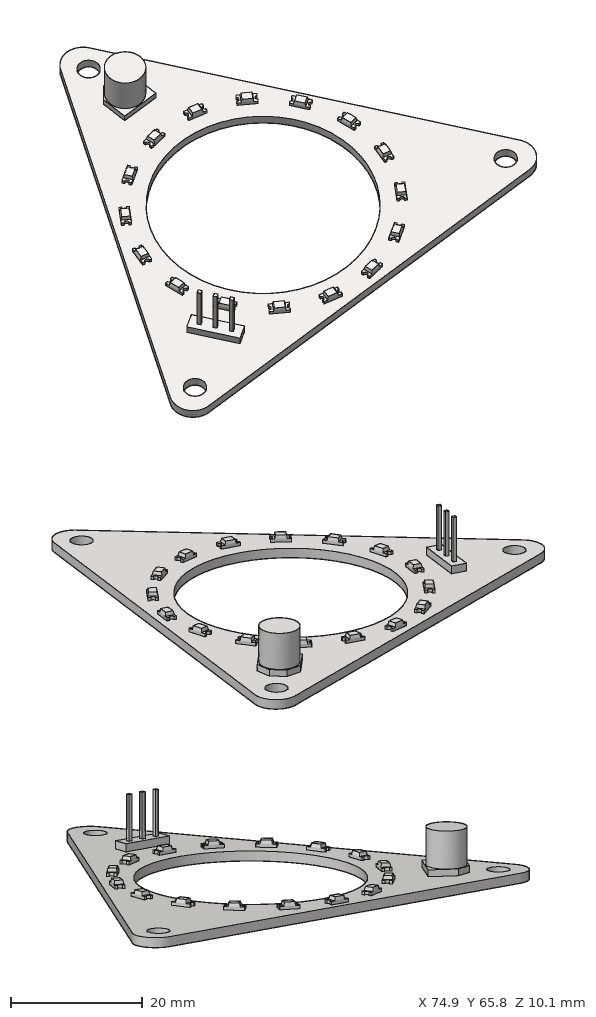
import cadquery as cq
import math

overall_width = 74.9
board_thickness = 1.6
corner_radius = 3.5
corner_distance = (overall_width / 2 - corner_radius) / math.cos(math.radians(30))
corner_angles = (30, 150, 270)
opening_diameter = 35.5
mount_hole_diameter = 3.5
mount_hole_distance = 38.0

lamp_count = 16
lamp_ring_radius = 21.05
lamp_length = 3.2
lamp_width = 1.6
lamp_base_height = 0.5
lamp_notch_radius = 0.4
lens_length = 1.95
lens_height = 0.6
lens_taper = 0.15

header_length = 8.4
header_width = 2.55
header_height = 1.3
header_y = -26.4
pin_count = 3
pin_pitch = 2.55
pin_size = 0.6
pin_tip_height = 10.1

can_distance = 30.0
can_angle = 150
can_diameter = 6.3
can_top_height = 8.5
foot_side = 6.6
foot_height = 1.05
foot_corner_cut = 1.95


def polar(distance, angle):
    """Point at a distance from the opening's centre, in a direction in degrees."""
    turn = math.radians(angle)
    return (distance * math.cos(turn), distance * math.sin(turn))


def placed(part, distance, angle):
    """Stand a part on the board, its local +X pointing away from the opening's centre."""
    return part.translate((distance, 0, board_thickness)).rotate((0, 0, 0), (0, 0, 1), angle)


def make_board():
    corners = [polar(corner_distance, angle) for angle in corner_angles]
    outline = cq.Sketch().push(corners).circle(corner_radius).reset().hull()
    opening = cq.Workplane("XY").circle(opening_diameter / 2).extrude(board_thickness)
    mount_holes = (
        cq.Workplane("XY")
        .pushPoints([polar(mount_hole_distance, angle) for angle in corner_angles])
        .circle(mount_hole_diameter / 2)
        .extrude(board_thickness)
    )
    plate = cq.Workplane("XY").placeSketch(outline).extrude(board_thickness)
    return plate.cut(opening).cut(mount_holes)


def make_lamp():
    """Flat base with a round notch in each end, carrying a tapered lens."""
    base = cq.Workplane("XY").rect(lamp_width, lamp_length).extrude(lamp_base_height)
    notches = (
        cq.Workplane("XY")
        .pushPoints([(0, -lamp_length / 2), (0, lamp_length / 2)])
        .circle(lamp_notch_radius)
        .extrude(lamp_base_height)
    )
    lens = (
        cq.Workplane("XY")
        .workplane(offset=lamp_base_height)
        .rect(lamp_width, lens_length)
        .workplane(offset=lens_height)
        .rect(lamp_width - 2 * lens_taper, lens_length - 2 * lens_taper)
        .loft()
    )
    return base.cut(notches).union(lens)


def make_header():
    first_pin = -(pin_count - 1) / 2 * pin_pitch
    pins = [(first_pin + i * pin_pitch, header_y) for i in range(pin_count)]
    block = (
        cq.Workplane("XY", origin=(0, 0, board_thickness))
        .center(0, header_y)
        .rect(header_length, header_width)
        .extrude(header_height)
    )
    pin_bars = (
        cq.Workplane("XY", origin=(0, 0, board_thickness))
        .pushPoints(pins)
        .rect(pin_size, pin_size)
        .extrude(pin_tip_height - board_thickness)
    )
    return block.union(pin_bars)


def make_can():
    foot = (
        cq.Workplane("XY")
        .rect(foot_side, foot_side)
        .extrude(foot_height)
        .edges("|Z and >X")
        .chamfer(foot_corner_cut)
    )
    can = cq.Workplane("XY").circle(can_diameter / 2).extrude(can_top_height - board_thickness)
    return foot.union(can)


result = make_board().union(make_header()).union(placed(make_can(), can_distance, can_angle))

lamp = make_lamp()
for i in range(lamp_count):
    result = result.union(placed(lamp, lamp_ring_radius, i * 360 / lamp_count))